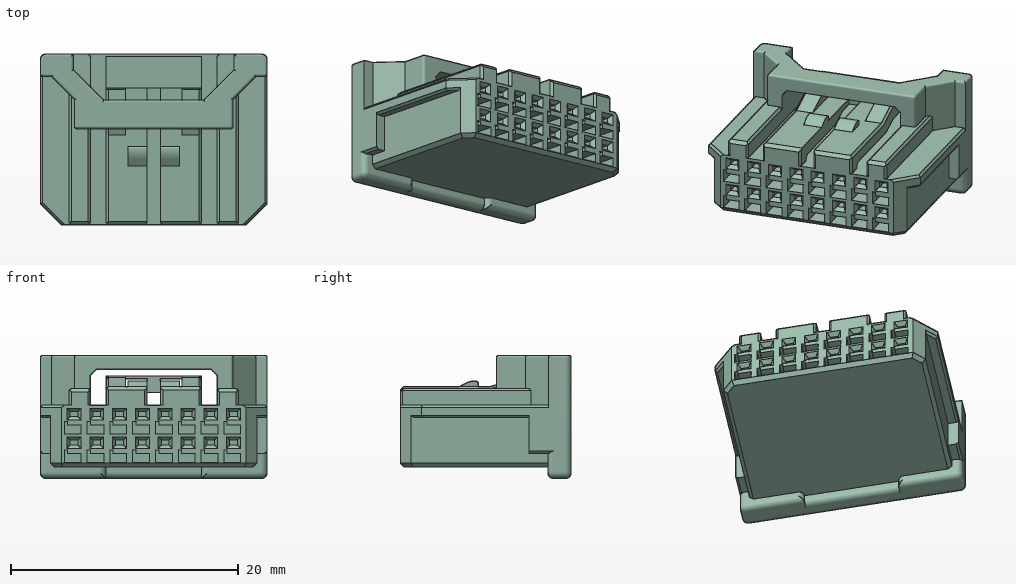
import cadquery as cq
import math

WIDTH = 19.9
LENGTH = 15.0
HEIGHT = 10.8
HALF_WIDTH = WIDTH / 2

TOLERANCE = 0.01

HOUSING_BOTTOM = 1.0
DECK = 6.43
FRONT_CORNER = 1.85
BOTTOM_CHAMFER = 0.35
EDGE_CHAMFER = 0.2
BIG_RADIUS = 0.5
SMALL_RADIUS = 0.2

RECESS_DEPTH = 0.91
RECESS_TOP = 5.33
RECESS_END = 11.3
STEP_TOP = 2.2

FLANGE_FRONT = 12.96
FLANGE_TOP = STEP_TOP + EDGE_CHAMFER
FOOT_INNER_X = 4.21
FLANGE_RELIEF = 0.5

COLUMN_FRONT = 13.0
COLUMN_INNER_X = 7.05
BRIDGE_FRONT = 8.43
BRIDGE_BACK = 10.95
BRIDGE_HALF_WIDTH = 6.95
BRIDGE_SHOULDER_Y = 11.0
COLUMN_INNER_BEND_Y = 13.6
OPENING_HALF_WIDTH = 5.55
OPENING_TOP = 9.57
OPENING_CHAMFER = 0.52

RIB_OUTER_X = 7.43
RIB_TOP = 7.9
RIB_BACK_RADIUS = 0.35
FRONT_TOP_CHAMFER = 0.3

ARM_INNER_X = 0.59
ARM_OUTER_X = 4.17
ARM_TOP = 8.05
ARM_UNDERSIDE = 6.93
ARM_ROOT_LENGTH = 1.35
ARM_ROOT_RADIUS = 0.4
UNDERSIDE_RISE_START = 8.6
BLOCK_FRONT = 12.0
BLOCK_BACK = 14.78
BLOCK_TOP = 9.0
BLOCK_UNDERSIDE = 7.53
WINDOW_OUTER_X = 2.47
WINDOW_TOP = 8.73
LATCH_CHAMFER = 0.14

RAMP_START = 7.88
RAMP_SLOPE = 1 / 3
RAMP_TOP = BLOCK_TOP - LATCH_CHAMFER

HOOK_OUTER_X = 2.28
HOOK_FRONT = 5.16
HOOK_ARC_FRONT = 5.79
HOOK_BACK = 6.86
HOOK_RAMP_ANGLE = math.radians(27.7)
HOOK_CREST_RADIUS = 1.5

COLUMNS = 8
COLUMN_PITCH = 2.0
ROW_CENTRES = (5.65, 3.15)
FUNNEL_SIZE = (1.22, 1.0)
THROAT_SIZE = (0.67, 0.43)
FUNNEL_DEPTH = 0.4
CAVITY_DEPTH = 5.0
SLOT_LEFT = -0.85
SLOT_RIGHT = 0.63
SLOT_BOTTOM = -1.75
SLOT_TOP = -0.96
KEY_TOP = -0.64
KEY_WIDTH = 0.29


def block(x0, x1, y0, y1, z0, z1):
    """Box given by its limits along each axis."""
    return cq.Workplane("XY").box(x1 - x0, y1 - y0, z1 - z0, centered=False).translate((x0, y0, z0))


def both_sides(solid):
    """The solid together with its mirror image across X = 0."""
    return solid.union(solid.mirror("YZ"))


def extrude_x(points, x0, x1):
    """Prism along X with a closed (y, z) outline."""
    return cq.Workplane("YZ").workplane(offset=x0).polyline(points).close().extrude(x1 - x0)


def make_housing():
    outline = [
        (-HALF_WIDTH, LENGTH),
        (-HALF_WIDTH, FRONT_CORNER),
        (-HALF_WIDTH + FRONT_CORNER, 0),
        (HALF_WIDTH - FRONT_CORNER, 0),
        (HALF_WIDTH, FRONT_CORNER),
        (HALF_WIDTH, LENGTH),
    ]
    body = cq.Workplane("XY").workplane(offset=HOUSING_BOTTOM).polyline(outline).close()
    body = body.extrude(DECK - HOUSING_BOTTOM)
    wall_x = HALF_WIDTH - RECESS_DEPTH
    recess = block(wall_x, WIDTH, 0, RECESS_END, 0, RECESS_TOP)
    recess = recess.union(block(wall_x, WIDTH, 0, LENGTH, 0, STEP_TOP))
    body = body.cut(both_sides(recess))
    body = body.faces("<Z").edges().chamfer(BOTTOM_CHAMFER)
    rounded = block(-HALF_WIDTH, HALF_WIDTH, 0, LENGTH, 0, HEIGHT).edges("|Z and >Y").fillet(BIG_RADIUS)
    return chamfer_housing_sides(body).intersect(rounded)


def chamfer_housing_sides(body):
    """Break the deck edges and the lips of the recesses, on both side walls."""
    wall_x = HALF_WIDTH - RECESS_DEPTH + TOLERANCE
    breaks = (
        (DECK, HALF_WIDTH - FRONT_CORNER, 0, LENGTH),
        (RECESS_TOP, wall_x, 0, RECESS_END),
        (STEP_TOP, wall_x, RECESS_END, LENGTH),
    )
    for z, x_min, y_min, y_max in breaks:
        for side in (-1, 1):
            corner_a = (side * x_min, y_min + TOLERANCE, z - TOLERANCE)
            corner_b = (side * WIDTH, y_max - TOLERANCE, z + TOLERANCE)
            edges = body.edges(cq.selectors.BoxSelector(corner_a, corner_b))
            body = edges.chamfer(EDGE_CHAMFER)
    return body


def make_flange():
    """Rounded rear plate with a thicker foot at each end; the feet also round off toward the middle."""
    plate = block(-HALF_WIDTH, HALF_WIDTH, FLANGE_FRONT + FLANGE_RELIEF, LENGTH, 0, FLANGE_TOP)
    plate = plate.edges("|Z or <Z").fillet(BIG_RADIUS)
    foot_bar = block(-HALF_WIDTH, HALF_WIDTH, FLANGE_FRONT, LENGTH, 0, FLANGE_TOP)
    foot_bar = foot_bar.edges("|Z or <Z").fillet(BIG_RADIUS)
    foot_limit = block(-HALF_WIDTH, -FOOT_INNER_X, FLANGE_FRONT, LENGTH, 0, FLANGE_TOP)
    foot_limit = foot_limit.edges("|Z and >X and <Y").fillet(BIG_RADIUS)
    return plate.union(both_sides(foot_bar.intersect(foot_limit)))


def make_yoke():
    bend = COLUMN_INNER_BEND_Y - BRIDGE_BACK
    half = [
        (COLUMN_INNER_X - bend, BRIDGE_BACK),
        (COLUMN_INNER_X, COLUMN_INNER_BEND_Y),
        (COLUMN_INNER_X, LENGTH),
        (HALF_WIDTH, LENGTH),
        (HALF_WIDTH, COLUMN_FRONT),
        (BRIDGE_HALF_WIDTH + COLUMN_FRONT - BRIDGE_SHOULDER_Y, COLUMN_FRONT),
        (BRIDGE_HALF_WIDTH, BRIDGE_SHOULDER_Y),
        (BRIDGE_HALF_WIDTH, BRIDGE_FRONT),
    ]
    outline = half + [(-x, y) for x, y in reversed(half)]
    base = DECK - EDGE_CHAMFER
    yoke = cq.Workplane("XY").workplane(offset=base).polyline(outline).close().extrude(HEIGHT - base)
    yoke = yoke.edges("|Z and >Y and (<X or >X)").fillet(BIG_RADIUS)
    yoke = yoke.edges("|Z and <Y").fillet(SMALL_RADIUS)
    yoke = yoke.faces(">Z").edges().fillet(SMALL_RADIUS)
    opening = block(-OPENING_HALF_WIDTH, OPENING_HALF_WIDTH, 0, LENGTH, 0, OPENING_TOP)
    opening = opening.edges("|Y and >Z").chamfer(OPENING_CHAMFER)
    return yoke.cut(opening)


def make_bar(x0, x1, length, top, inner_chamfer):
    """Bar on the deck with bevelled front edges and outer top edge, and optionally inner top edge."""
    side_profile = [
        (0, DECK),
        (0, top - FRONT_TOP_CHAMFER),
        (FRONT_TOP_CHAMFER, top),
        (length, top),
        (length, DECK),
    ]
    bar = extrude_x(side_profile, x0, x1)
    plan = block(x0, x1, 0, length, DECK, top).edges("|Z and <Y").chamfer(EDGE_CHAMFER)
    section = block(x0, x1, 0, length, DECK, top)
    top_edges = "|Y and >Z" if inner_chamfer else "|Y and >Z and <X"
    section = section.edges(top_edges).chamfer(EDGE_CHAMFER)
    return bar.intersect(plan).intersect(section)


def make_ribs():
    front = make_bar(-RIB_OUTER_X, -OPENING_HALF_WIDTH, COLUMN_FRONT, RIB_TOP, True)
    back = block(-COLUMN_INNER_X, -OPENING_HALF_WIDTH, BRIDGE_FRONT, LENGTH, DECK, RIB_TOP)
    back = back.edges("|Z and >X and >Y").fillet(RIB_BACK_RADIUS)
    return both_sides(front.union(back))


def make_latch():
    arm = make_bar(-ARM_OUTER_X, -ARM_INNER_X, BLOCK_BACK, ARM_TOP, False)
    rear = block(-ARM_OUTER_X, ARM_OUTER_X, BLOCK_FRONT, BLOCK_BACK, BLOCK_UNDERSIDE, BLOCK_TOP)
    window = block(-WINDOW_OUTER_X, -ARM_INNER_X, 0, LENGTH, ARM_TOP, WINDOW_TOP)
    rear = rear.cut(both_sides(window))
    half = arm.union(make_ramp()).union(make_hook()).cut(make_flex_gap())
    return both_sides(half).union(rear)


def ramp_profile(drop):
    """Outline of the ramp in (y, z), with its upper side lowered by the given drop."""
    ramp_end = RAMP_START + (RAMP_TOP - ARM_TOP) / RAMP_SLOPE
    return [
        (RAMP_START, ARM_TOP - drop),
        (ramp_end, RAMP_TOP - drop),
        (BLOCK_FRONT - LATCH_CHAMFER, RAMP_TOP - drop),
        (BLOCK_FRONT, BLOCK_TOP - drop),
        (BLOCK_FRONT, DECK),
        (RAMP_START, DECK),
    ]


def make_ramp():
    """Ramp on the outer half of the arm, bevelled along its outer edge."""
    bevel_x = EDGE_CHAMFER - ARM_OUTER_X
    core = extrude_x(ramp_profile(0), bevel_x, -WINDOW_OUTER_X)
    bevel = (
        cq.Workplane("YZ").workplane(offset=-ARM_OUTER_X).polyline(ramp_profile(EDGE_CHAMFER)).close()
        .workplane(offset=EDGE_CHAMFER).polyline(ramp_profile(0)).close()
        .loft(ruled=True)
    )
    return core.union(bevel)


def make_flex_gap():
    """Clearance under the arm; its ceiling rises alongside the ramp and it is open at the rear."""
    rise_end = UNDERSIDE_RISE_START + (BLOCK_UNDERSIDE - ARM_UNDERSIDE) / RAMP_SLOPE
    outline = [
        (ARM_ROOT_LENGTH, DECK),
        (ARM_ROOT_LENGTH, ARM_UNDERSIDE),
        (UNDERSIDE_RISE_START, ARM_UNDERSIDE),
        (rise_end, BLOCK_UNDERSIDE),
        (LENGTH, BLOCK_UNDERSIDE),
        (LENGTH, DECK),
    ]
    gap = extrude_x(outline, -ARM_OUTER_X, -ARM_INNER_X)
    root_edge = cq.selectors.NearestToPointSelector((-WINDOW_OUTER_X, ARM_ROOT_LENGTH, ARM_UNDERSIDE))
    return gap.edges(root_edge).fillet(ARM_ROOT_RADIUS)


def make_hook():
    """Ramp from the front that runs tangentially into a rounded crest with a steep back."""
    ramp_top = ARM_TOP + (HOOK_ARC_FRONT - HOOK_FRONT) * math.tan(HOOK_RAMP_ANGLE)
    centre_y = HOOK_ARC_FRONT + HOOK_CREST_RADIUS * math.sin(HOOK_RAMP_ANGLE)
    centre_z = ramp_top - HOOK_CREST_RADIUS * math.cos(HOOK_RAMP_ANGLE)
    back_top = centre_z + math.sqrt(HOOK_CREST_RADIUS**2 - (HOOK_BACK - centre_y) ** 2)
    profile = (
        cq.Workplane("YZ").workplane(offset=-HOOK_OUTER_X)
        .moveTo(HOOK_FRONT, ARM_TOP)
        .lineTo(HOOK_ARC_FRONT, ramp_top)
        .threePointArc((centre_y, centre_z + HOOK_CREST_RADIUS), (HOOK_BACK, back_top))
        .lineTo(HOOK_BACK, DECK)
        .lineTo(HOOK_FRONT, DECK)
        .close()
    )
    hook = profile.extrude(HOOK_OUTER_X - ARM_INNER_X)
    back_edge = cq.selectors.NearestToPointSelector((-(HOOK_OUTER_X + ARM_INNER_X) / 2, HOOK_BACK, back_top))
    return hook.edges(back_edge).fillet(SMALL_RADIUS)


def make_cavity():
    """Funnel, throat and keyed slot for one terminal, centred on X = Z = 0 and entering at Y = 0."""
    funnel = (
        cq.Workplane("XZ").rect(*FUNNEL_SIZE)
        .workplane(offset=-FUNNEL_DEPTH).rect(*THROAT_SIZE).loft(ruled=True)
    )
    throat = cq.Workplane("XZ").rect(*THROAT_SIZE).extrude(-CAVITY_DEPTH)
    slot = block(SLOT_LEFT, SLOT_RIGHT, 0, CAVITY_DEPTH, SLOT_BOTTOM, SLOT_TOP)
    key = block(SLOT_LEFT, SLOT_LEFT + KEY_WIDTH, 0, CAVITY_DEPTH, SLOT_BOTTOM, KEY_TOP)
    return funnel.union(throat).union(slot.union(key))


def cut_cavities(body):
    cavity = make_cavity()
    first_x = -COLUMN_PITCH * (COLUMNS - 1) / 2
    for z in ROW_CENTRES:
        for column in range(COLUMNS):
            body = body.cut(cavity.translate((first_x + column * COLUMN_PITCH, 0, z)))
    return body


housing = cut_cavities(make_housing())
result = housing.union(make_flange()).union(make_yoke()).union(make_ribs()).union(make_latch())